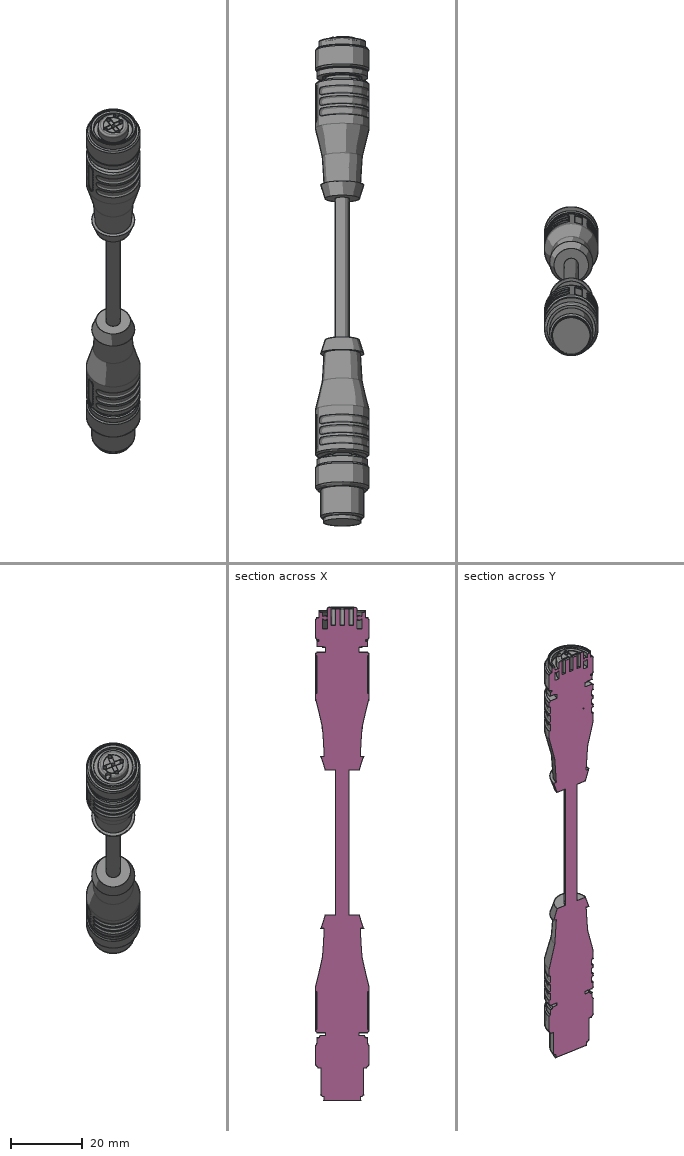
import cadquery as cq
import math

TOTAL_HEIGHT = 137.5
CABLE_DIAMETER = 4.0

BODY_DIAMETER = 15.0
BODY_LENGTH = 13.0
BODY_CHAMFER = 0.5
CONE_LENGTH = 8.0
CONE_END_DIAMETER = 11.2
SLEEVE_LENGTH = 8.1
SLEEVE_END_DIAMETER = 10.2
COLLAR_LENGTH = 3.8
COLLAR_DIAMETER = 12.0
COLLAR_END_DIAMETER = 9.6
GRIP_LENGTH = BODY_LENGTH + CONE_LENGTH + SLEEVE_LENGTH + COLLAR_LENGTH

GROOVE_COUNT = 3
GROOVE_PITCH = 3.0
GROOVE_WIDTH = 2.2
GROOVE_FLOOR_DIAMETER = 14.0
GROOVE_END_X = 2.5
GROOVE_FILLET = 0.3
GROOVE_MIDDLE = 6.25
RECESS_WIDTH = 2.2
RECESS_LENGTH = 10.4
RECESS_DEPTH = 0.35
RECESS_MIDDLE = 6.25

NECK_DIAMETER = 9.6

SOCKET_FACE_DIAMETER = 8.38
SOCKET_FACE_FILLET = 0.6
KEYWAY_DIAMETER = 1.5
KEYWAY_DEPTH = 2.0
KEYWAY_RADIUS = 3.55
KEYWAY_ANGLE = 135
DISH_DIAMETER = 5.5
DISH_DEPTH = 0.2
CROSS_WIDTH = 1.15
CROSS_DEPTH = 0.5
RIM_DROP = 0.9
RIM_DIAMETER = 13.0
RIM_MOUTH_DIAMETER = 12.3
RIM_MOUTH_DEPTH = 0.5
RIM_BORE_DIAMETER = 10.92
SEAL_DROP = 3.0
SEAL_SQUEEZE = 0.05
SOCKET_GAP_DEPTH = 6.0
FEMALE_NUT_TOP = 2.9
FEMALE_NUT_BOTTOM = 9.1
FEMALE_GROOVE_DIAMETER = 13.0
FEMALE_RING_TOP = 9.45
FEMALE_RING_BOTTOM = 11.0
FEMALE_RING_END = 11.2
FEMALE_RING_END_DIAMETER = 11.0
FEMALE_GRIP_TOP = 12.5
CONTACT_DIAMETER = 1.0
CONTACT_DEPTH = 5.0
CONTACT_CIRCLE_RADIUS = 2.5

TIP_DIAMETER = 10.45
TIP_LENGTH = 1.1
BARREL_DIAMETER = 12.0
BARREL_CHAMFER = 0.5
MALE_NUT_BOTTOM = 9.1
MALE_NUT_TOP = 15.9
MALE_RING_TOP = 17.6
MALE_HUB_TOP = 18.2
MALE_HUB_DIAMETER = 13.0
MALE_HUB_TOP_DIAMETER = 12.5
MALE_GRIP_BOTTOM = 18.9

NUT_DIAMETER = 15.0
NUT_EDGE_DIAMETER = 14.25
NUT_EDGE_LENGTH = 0.5
NUT_LIP_DIAMETER = 13.5
NUT_LIP_LENGTH = 0.4
RING_DIAMETER = 14.2


def turned(profile):
    """Solid of revolution about Z from (diameter, z) pairs listed along the outline."""
    points = [(0, profile[0][1])]
    points += [(diameter / 2, z) for diameter, z in profile]
    points += [(0, profile[-1][1])]
    return cq.Workplane("XZ").polyline(points).close().revolve(360, (0, 0, 0), (0, 1, 0))


def disc(diameter, top, depth):
    """Cylinder about Z that reaches the given depth below its top."""
    return cq.Workplane("XY").workplane(offset=top).circle(diameter / 2).extrude(-depth)


def grip():
    """Grip body standing on z = 0 with its cable end up."""
    cone_start = BODY_LENGTH
    sleeve_start = cone_start + CONE_LENGTH
    collar_start = sleeve_start + SLEEVE_LENGTH
    body = turned([
        (BODY_DIAMETER - 2 * BODY_CHAMFER, 0),
        (BODY_DIAMETER, BODY_CHAMFER),
        (BODY_DIAMETER, cone_start),
        (CONE_END_DIAMETER, sleeve_start),
        (SLEEVE_END_DIAMETER, collar_start),
        (COLLAR_DIAMETER, collar_start),
        (COLLAR_END_DIAMETER, GRIP_LENGTH),
    ])
    return body.cut(finger_grooves()).cut(marker_recesses())


def on_groove_floor(edge):
    """True for an edge lying on the cylindrical groove floor."""
    middle = edge.positionAt(0.5)
    return math.isclose(math.hypot(middle.x, middle.y), GROOVE_FLOOR_DIAMETER / 2, rel_tol=1e-4)


def finger_grooves():
    """Round-ended grooves wrapping the +X and -X sides, with filleted cylindrical floors."""
    slot_length = BODY_DIAMETER
    slot_x = GROOVE_END_X + slot_length / 2
    centers = []
    for index in range(GROOVE_COUNT):
        z = GROOVE_MIDDLE + (index - (GROOVE_COUNT - 1) / 2) * GROOVE_PITCH
        centers += [(slot_x, z), (-slot_x, z)]
    slots = (
        cq.Workplane("XZ")
        .pushPoints(centers)
        .slot2D(slot_length, GROOVE_WIDTH)
        .extrude(BODY_DIAMETER, both=True)
    )
    core = disc(GROOVE_FLOOR_DIAMETER, BODY_LENGTH, BODY_LENGTH)
    shell = disc(BODY_DIAMETER, BODY_LENGTH, BODY_LENGTH).cut(core)
    grooves = slots.intersect(shell)
    return grooves.edges().filter(on_groove_floor).fillet(GROOVE_FILLET)


def marker_recesses():
    """Shallow upright slots on the -Y and +Y sides."""
    slots = (
        cq.Workplane("XZ")
        .center(0, RECESS_MIDDLE)
        .slot2D(RECESS_LENGTH, RECESS_WIDTH, 90)
        .extrude(BODY_DIAMETER, both=True)
    )
    floor_gap = BODY_DIAMETER - 2 * RECESS_DEPTH
    return slots.cut(cq.Workplane("XY").box(BODY_DIAMETER, floor_gap, 2 * BODY_LENGTH))


def female_head():
    """Nut, ring, neck, seal and socket face of the upper connector, with z = 0 at its top."""
    head = turned([
        (NECK_DIAMETER, -FEMALE_GRIP_TOP),
        (NECK_DIAMETER, -FEMALE_RING_END),
        (FEMALE_RING_END_DIAMETER, -FEMALE_RING_END),
        (FEMALE_RING_END_DIAMETER, -FEMALE_RING_BOTTOM),
        (RING_DIAMETER, -FEMALE_RING_BOTTOM),
        (RING_DIAMETER, -FEMALE_RING_TOP),
        (FEMALE_GROOVE_DIAMETER, -FEMALE_RING_TOP),
        (FEMALE_GROOVE_DIAMETER, -FEMALE_NUT_BOTTOM),
        (NUT_EDGE_DIAMETER, -FEMALE_NUT_BOTTOM),
        (NUT_DIAMETER, -FEMALE_NUT_BOTTOM + NUT_EDGE_LENGTH),
        (NUT_DIAMETER, -FEMALE_NUT_TOP - NUT_EDGE_LENGTH),
        (NUT_EDGE_DIAMETER, -FEMALE_NUT_TOP),
        (RIM_DIAMETER, -FEMALE_NUT_TOP),
        (RIM_DIAMETER, -RIM_DROP),
    ])
    bore = disc(RIM_BORE_DIAMETER, 0, SOCKET_GAP_DEPTH)
    mouth = disc(RIM_MOUTH_DIAMETER, -RIM_DROP, RIM_MOUTH_DEPTH)
    return head.cut(bore).cut(mouth).union(seal()).union(socket_face())


def seal():
    """O-ring filling the gap around the socket face."""
    mean_radius = (RIM_BORE_DIAMETER + SOCKET_FACE_DIAMETER) / 4
    section_radius = (RIM_BORE_DIAMETER - SOCKET_FACE_DIAMETER) / 4 + SEAL_SQUEEZE
    return cq.Workplane(cq.Solid.makeTorus(mean_radius, section_radius)).translate((0, 0, -SEAL_DROP))


def socket_face():
    """Rounded insert with a keyway in its edge, a shallow dish and five contacts set in a cross."""
    insert = disc(SOCKET_FACE_DIAMETER, 0, SOCKET_GAP_DEPTH).faces(">Z").edges().fillet(SOCKET_FACE_FILLET)
    angle = math.radians(KEYWAY_ANGLE)
    keyway_center = (KEYWAY_RADIUS * math.cos(angle), KEYWAY_RADIUS * math.sin(angle), 0)
    keyway = disc(KEYWAY_DIAMETER, 0, KEYWAY_DEPTH).translate(keyway_center)
    insert = insert.cut(keyway).cut(disc(DISH_DIAMETER, 0, DISH_DEPTH))

    r = CONTACT_CIRCLE_RADIUS
    for slot_angle in (0, 90):
        slot = cq.Workplane("XY").slot2D(2 * r + CROSS_WIDTH, CROSS_WIDTH, slot_angle).extrude(-CROSS_DEPTH)
        insert = insert.cut(slot)
    for x, y in [(0, 0), (r, 0), (0, r), (-r, 0), (0, -r)]:
        insert = insert.cut(disc(CONTACT_DIAMETER, 0, CONTACT_DEPTH).translate((x, y, 0)))
    return insert


def male_head():
    """Tip, barrel, nut, ring, hub and neck of the lower connector, with z = 0 at its bottom."""
    return turned([
        (TIP_DIAMETER, 0),
        (TIP_DIAMETER, TIP_LENGTH),
        (BARREL_DIAMETER - 2 * BARREL_CHAMFER, TIP_LENGTH),
        (BARREL_DIAMETER, TIP_LENGTH + BARREL_CHAMFER),
        (BARREL_DIAMETER, MALE_NUT_BOTTOM),
        (NUT_LIP_DIAMETER, MALE_NUT_BOTTOM),
        (NUT_EDGE_DIAMETER, MALE_NUT_BOTTOM + NUT_LIP_LENGTH),
        (NUT_DIAMETER, MALE_NUT_BOTTOM + NUT_LIP_LENGTH + NUT_EDGE_LENGTH),
        (NUT_DIAMETER, MALE_NUT_TOP - NUT_EDGE_LENGTH),
        (NUT_EDGE_DIAMETER, MALE_NUT_TOP),
        (RING_DIAMETER, MALE_NUT_TOP),
        (RING_DIAMETER, MALE_RING_TOP),
        (MALE_HUB_DIAMETER, MALE_RING_TOP),
        (MALE_HUB_TOP_DIAMETER, MALE_HUB_TOP),
        (NECK_DIAMETER, MALE_HUB_TOP),
        (NECK_DIAMETER, MALE_GRIP_BOTTOM),
    ])


def cable():
    """Cable running between the cable ends of the two grip bodies."""
    start = MALE_GRIP_BOTTOM + GRIP_LENGTH
    end = TOTAL_HEIGHT - FEMALE_GRIP_TOP - GRIP_LENGTH
    return disc(CABLE_DIAMETER, end, end - start)


lower_grip = grip().translate((0, 0, MALE_GRIP_BOTTOM))
upper_grip = grip().rotate((0, 0, 0), (0, 1, 0), 180).translate((0, 0, TOTAL_HEIGHT - FEMALE_GRIP_TOP))
upper_head = female_head().translate((0, 0, TOTAL_HEIGHT))

result = male_head().union(lower_grip).union(cable()).union(upper_grip).union(upper_head)